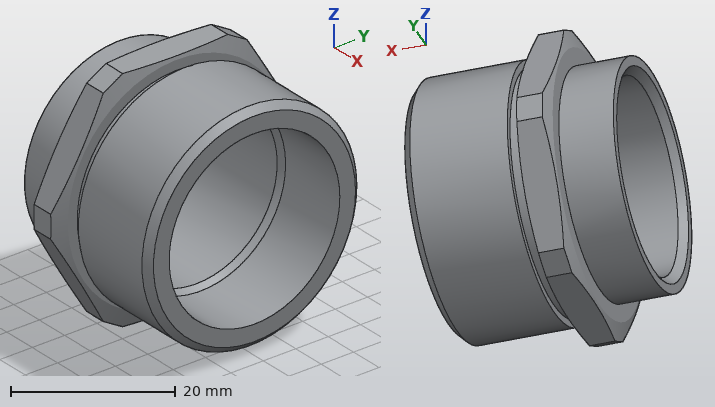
import cadquery as cq
import math

total_length = 26.5
nut_start = 7.0
nut_width = 4.5
neck_length = 1.5
nut_end = nut_start + nut_width
body_start = nut_end + neck_length

inlet_diameter = 29.5
neck_diameter = 31.2
body_diameter = 33.2
body_chamfer = 1.0

nut_across_flats = 35.0
nut_across_trimmed_corners = 38.4
nut_face_diameter = 34.0
nut_chamfer_angle = 15.0
hexagon_corner_ratio = 1 / math.cos(math.radians(30))

bore_diameter = 25.0
bore_mouth_diameter = 27.0
bore_mouth_chamfer = (bore_mouth_diameter - bore_diameter) / 2
outlet_bore_diameter = 26.35
bore_step_start = 15.0
bore_step_end = 15.82


def cylinder(diameter, start, end):
    """Solid cylinder along X between two stations."""
    return cq.Workplane("YZ", origin=(start, 0, 0)).circle(diameter / 2).extrude(end - start)


def revolve_about_x(profile):
    """Solid of revolution about X from a closed (x, radius) profile."""
    return cq.Workplane("XY").polyline(profile).close().revolve(360, (0, 0, 0), (1, 0, 0))


def hexagon(across_flats, corner_angle):
    """Hexagonal prism over the nut width, with one corner at corner_angle degrees from +Y."""
    return (
        cq.Workplane("YZ", origin=(nut_start, 0, 0))
        .transformed(rotate=(0, 0, corner_angle))
        .polygon(6, across_flats * hexagon_corner_ratio)
        .extrude(nut_width)
    )


def nut_envelope():
    """Round blank coned on both faces, which chamfers the hexagon corners."""
    face_radius = nut_face_diameter / 2
    outer_radius = nut_across_flats * hexagon_corner_ratio / 2
    chamfer_length = (outer_radius - face_radius) * math.tan(math.radians(nut_chamfer_angle))
    return revolve_about_x([
        (nut_start, 0),
        (nut_start, face_radius),
        (nut_start + chamfer_length, outer_radius),
        (nut_end - chamfer_length, outer_radius),
        (nut_end, face_radius),
        (nut_end, 0),
    ])


def make_nut():
    """Nut with corners toward +-Y, trimmed by a second hexagon turned by 30 degrees."""
    corner_trim = hexagon(nut_across_trimmed_corners, 30)
    return hexagon(nut_across_flats, 0).intersect(corner_trim).intersect(nut_envelope())


def bore_cavity():
    """Chamfered inlet mouth, plain bore, then a coned step to the wider outlet bore."""
    bore_radius = bore_diameter / 2
    outlet_bore_radius = outlet_bore_diameter / 2
    return revolve_about_x([
        (0, 0),
        (0, bore_mouth_diameter / 2),
        (bore_mouth_chamfer, bore_radius),
        (bore_step_start, bore_radius),
        (bore_step_end, outlet_bore_radius),
        (total_length, outlet_bore_radius),
        (total_length, 0),
    ])


inlet = cylinder(inlet_diameter, 0, nut_start)
neck = cylinder(neck_diameter, nut_end, body_start)
body = cylinder(body_diameter, body_start, total_length).faces(">X").chamfer(body_chamfer)

result = inlet.union(make_nut()).union(neck).union(body).cut(bore_cavity())